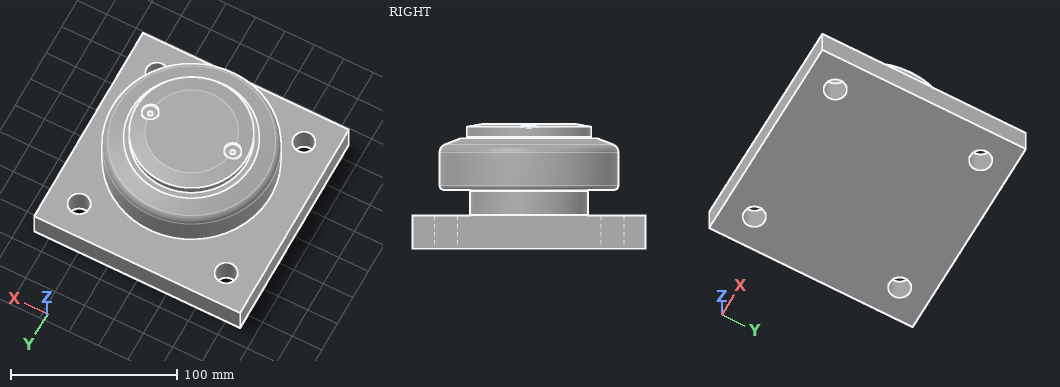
import cadquery as cq

plate_side = 140.0
plate_thickness = 20.0
bolt_spacing = 100.0
bolt_hole_diameter = 13.9

roller_bottom = 35.3
bottom_corner = 3.0
crown_bottom = roller_bottom + bottom_corner
crown_top = 58.0
cone_bottom = 62.7
roller_top = 66.5
cap_bottom = 67.2
cap_rim = 73.4
total_height = 75.0

neck_radius = 71.0 / 2
neck_relief_radius = 70.5 / 2
neck_relief_height = 0.5
roller_radius = 107.7 / 2
crown_rise = 0.1
bottom_face_radius = roller_radius - bottom_corner
cone_outer_radius = 50.5
cone_inner_radius = 40.9
cap_stem_radius = 69.3 / 2
cap_radius = 75.0 / 2
cap_flat_radius = 56.0 / 2

recess_spacing = 56.0
recess_diameter = 10.4
recess_depth = 2.0
pin_hole_diameter = 3.0
pin_hole_depth = 0.7


def mounting_plate():
    """Square plate with four through holes near its corners."""
    return (
        cq.Workplane("XY")
        .rect(plate_side, plate_side)
        .extrude(plate_thickness)
        .faces(">Z").workplane()
        .rect(bolt_spacing, bolt_spacing, forConstruction=True)
        .vertices()
        .hole(bolt_hole_diameter)
    )


def turned_body():
    """Relieved neck, crowned roller and overhanging cap, revolved as one profile."""
    corner_mid = bottom_corner * (1 - 0.5 ** 0.5)
    crown_middle = (crown_bottom + crown_top) / 2
    return (
        cq.Workplane("XZ")
        .moveTo(0, plate_thickness)
        .lineTo(neck_relief_radius, plate_thickness)
        .lineTo(neck_relief_radius, plate_thickness + neck_relief_height)
        .lineTo(neck_radius, plate_thickness + neck_relief_height)
        .lineTo(neck_radius, roller_bottom - neck_relief_height)
        .lineTo(neck_relief_radius, roller_bottom - neck_relief_height)
        .lineTo(neck_relief_radius, roller_bottom)
        .lineTo(bottom_face_radius, roller_bottom)
        .threePointArc(
            (roller_radius - corner_mid, roller_bottom + corner_mid), (roller_radius, crown_bottom)
        )
        .threePointArc((roller_radius + crown_rise, crown_middle), (roller_radius, crown_top))
        .tangentArcPoint((cone_outer_radius, cone_bottom), relative=False)
        .lineTo(cone_inner_radius, roller_top)
        .lineTo(cap_stem_radius, roller_top)
        .lineTo(cap_stem_radius, cap_bottom)
        .lineTo(cap_radius, cap_bottom)
        .lineTo(cap_radius, cap_rim)
        .lineTo(cap_flat_radius, total_height)
        .lineTo(0, total_height)
        .close()
        .revolve(360, (0, 0, 0), (0, 1, 0))
    )


result = mounting_plate().union(turned_body())
recesses = (
    cq.Workplane("XY", origin=(0, 0, total_height))
    .pushPoints([(-recess_spacing / 2, 0), (recess_spacing / 2, 0)])
)
result = result.cut(recesses.circle(recess_diameter / 2).extrude(-recess_depth))
result = result.cut(recesses.circle(pin_hole_diameter / 2).extrude(-recess_depth - pin_hole_depth))